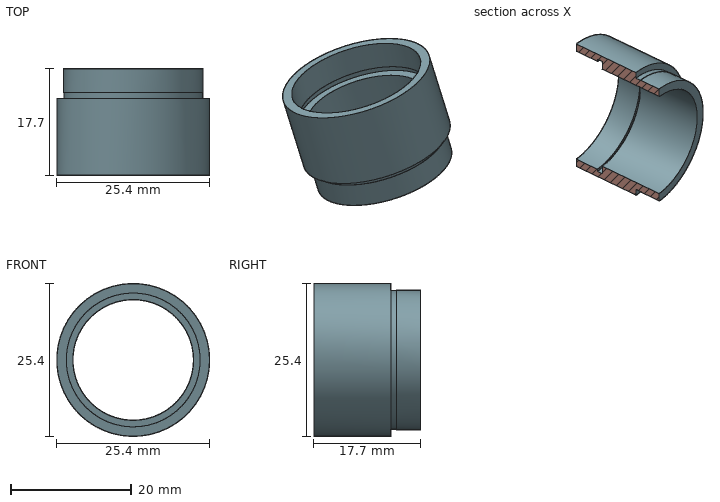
import cadquery as cq

body_diameter = 25.4
body_length = 12.75
neck_diameter = 23.1
neck_length = 1.0
collar_diameter = 23.2
collar_length = 3.95

bore_diameter = 20.0
counterbore_diameter = 22.22
counterbore_depth = 5.5
relief_diameter = 23.1
relief_width = 1.0

total_length = body_length + neck_length + collar_length
front_y = -total_length / 2


def cylinder(diameter, length, start):
    """Cylinder along +Y whose front end lies `start` behind the front face."""
    plane = cq.Workplane(cq.Plane(origin=(0, front_y + start, 0), xDir=(1, 0, 0), normal=(0, 1, 0)))
    return plane.circle(diameter / 2).extrude(length)


body = cylinder(body_diameter, body_length, 0)
neck = cylinder(neck_diameter, neck_length, body_length)
collar = cylinder(collar_diameter, collar_length, body_length + neck_length)

bore = cylinder(bore_diameter, total_length, 0)
counterbore = cylinder(counterbore_diameter, counterbore_depth, 0)
relief = cylinder(relief_diameter, relief_width, counterbore_depth - relief_width)

result = body.union(neck).union(collar).cut(bore).cut(counterbore).cut(relief)